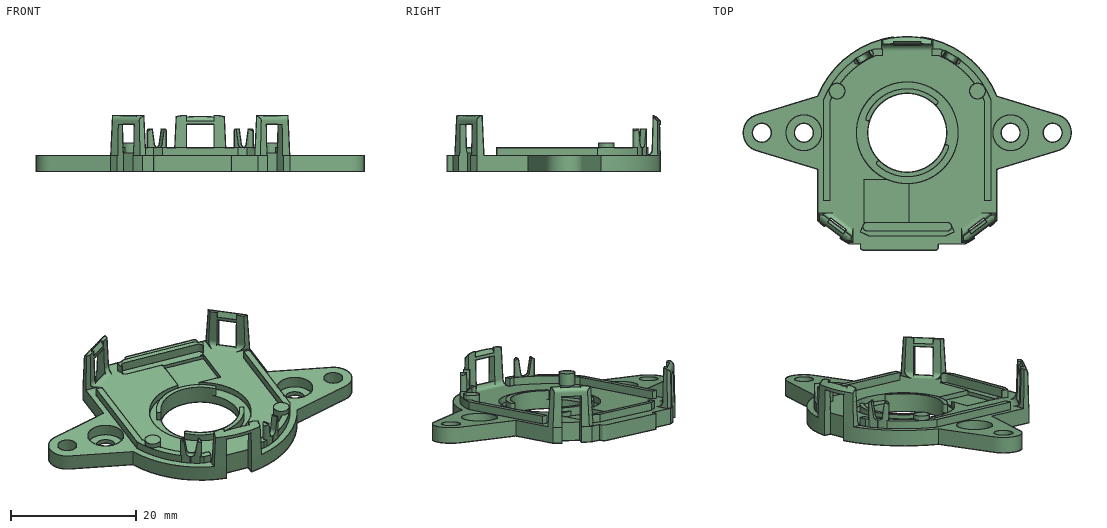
import cadquery as cq
import math

LENGTH = 52.5
PLATE_THICKNESS = 2.55
BODY_HALF_WIDTH = 14.35
REAR_RADIUS = 15.5
FRONT_CORNER_RADIUS = 20.05
FRONT_EDGE_Y = -17.8

TAB_LEFT = -7.5
TAB_RIGHT = 5.0
TAB_FRONT_Y = -18.8
TAB_CORNER_RADIUS = 0.45

EAR_RADIUS = 3.0
EAR_X = LENGTH / 2 - EAR_RADIUS
EAR_SLOPE = math.radians(17)
EAR_ROOT_OVERLAP = 1.05
EAR_HOLE_DIAMETER = 3.0
SCREW_X = 16.55
COUNTERBORE_DIAMETER = 5.7
COUNTERBORE_FLOOR_Z = 0.75

BORE_DIAMETER = 12.6
BORE_RADIUS = BORE_DIAMETER / 2
RECESS_RADIUS = 8.15
RECESS_FLOOR_Z = 1.5
RIB_THICKNESS = 0.75
RIB_TOP_Z = 2.95
RIB_START_ANGLE = 47
RIB_END_ANGLE = 160

POCKET_LEFT = -6.9
POCKET_RIGHT = 0.25
POCKET_REAR_Y = -7.5
POCKET_FLOOR_Z = 1.8
SLOT_REAR_Y = -14.35
SLOT_WIDTH = 1.35
SLOT_LENGTH = 14.15
SLOT_FLOOR_Z = 2.35
RIDGE_REAR_Y = -14.85
RIDGE_FRONT_Y = -16.55
RIDGE_WIDEST_Y = -15.85
RIDGE_HALF_REAR = 7.1
RIDGE_HALF_WIDEST = 7.5
RIDGE_HALF_FRONT = 6.05

RAIL_TOP_Z = 3.85
RAIL_WIDTH = 1.0
RAIL_HALF_SPAN = 13.4
RAIL_OUTER_RADIUS = 14.4
RAIL_INNER_RADIUS = 13.35
RAIL_FRONT_Y = -10.85
RAIL_REAR_GAP_HALF = 4.0

PEG_X = 11.25
PEG_Y = 6.65
PEG_DIAMETER = 2.5
PEG_TOP_Z = 4.55

PRONG_ANGLE = 60
PRONG_CENTRE_RADIUS = 13.9
PRONG_TOP_Z = 6.8
PRONG_SHOULDER_Z = 6.5
PRONG_OUTER = 1.7
PRONG_TIP_OUTER = 1.25
PRONG_TIP_INNER = 1.1
PRONG_ROOT_INNER = 0.75
PRONG_ROOT_RADIUS = 0.7

CLIP_TOP_Z = 9.0
CLIP_TAPER = 2.6
CLIP_INNER_LEAN = 0.15
CLIP_ROOT_RADIUS = 0.95
WINDOW_TOP_Z = 7.55
HOOK_Z = 8.1
CLIP_OUTER_LEAN = 0.115
HOOK_RUN = CLIP_TOP_Z - HOOK_Z
BAR_BEVEL = 0.5

REAR_CLIP_HALF_WIDTH = 4.15
REAR_CLIP_INNER = 14.0
REAR_NOTCH_INNER = REAR_CLIP_INNER
REAR_WINDOW_WIDTH = 4.35

FRONT_CLIP_ANGLE = 233
FRONT_CLIP_INNER = 18.4
FRONT_CLIP_OUTER = 19.8
FRONT_NOTCH_INNER = 18.25
FRONT_WINDOW_WIDTH = 3.15
FRONT_CLIP_X = (-BODY_HALF_WIDTH, -8.7)
FRONT_CLIP_Y = (-17.55, -12.85)

OVERSIZE = 52.5


def block(x_range, y_range, z_range):
    """Axis-aligned box from its limits."""
    size = [high - low for low, high in (x_range, y_range, z_range)]
    corner = (x_range[0], y_range[0], z_range[0])
    return cq.Workplane("XY").box(*size, centered=False).translate(corner)


def cylinder(radius, z_low, z_high, x=0, y=0):
    return cq.Workplane("XY", origin=(x, y, z_low)).circle(radius).extrude(z_high - z_low)


def both_sides(shape):
    """The shape together with its mirror image across the YZ plane."""
    return shape.union(shape.mirror("YZ"))


def make_body():
    """Plate with a round rear, square front and rounded-off front corners."""
    z_range = (0, PLATE_THICKNESS)
    x_range = (-BODY_HALF_WIDTH, BODY_HALF_WIDTH)
    rear = cylinder(REAR_RADIUS, *z_range).intersect(block(x_range, (0, OVERSIZE), z_range))
    front = cylinder(FRONT_CORNER_RADIUS, *z_range).intersect(block(x_range, (FRONT_EDGE_Y, 0), z_range))
    tab = block((TAB_LEFT, TAB_RIGHT), (TAB_FRONT_Y, FRONT_EDGE_Y), z_range)
    tab = tab.edges("|Z and <Y").fillet(TAB_CORNER_RADIUS)
    return rear.union(front).union(tab)


def make_ear():
    """Right-hand ear: a round end with straight flanks that widen towards the body."""
    tangent_x = EAR_X + EAR_RADIUS * math.sin(EAR_SLOPE)
    tangent_y = EAR_RADIUS * math.cos(EAR_SLOPE)
    root_x = BODY_HALF_WIDTH - EAR_ROOT_OVERLAP
    root_y = tangent_y + (tangent_x - root_x) * math.tan(EAR_SLOPE)
    return (
        cq.Workplane("XY")
        .moveTo(root_x, -root_y)
        .lineTo(tangent_x, -tangent_y)
        .threePointArc((LENGTH / 2, 0), (tangent_x, tangent_y))
        .lineTo(root_x, root_y)
        .close()
        .extrude(PLATE_THICKNESS)
    )


def make_ear_holes():
    """Plain outer hole and counterbored inner hole of the right-hand ear."""
    outer = cylinder(EAR_HOLE_DIAMETER / 2, 0, PLATE_THICKNESS, x=EAR_X)
    inner = cylinder(EAR_HOLE_DIAMETER / 2, 0, PLATE_THICKNESS, x=SCREW_X)
    counterbore = cylinder(COUNTERBORE_DIAMETER / 2, COUNTERBORE_FLOOR_Z, PLATE_THICKNESS, x=SCREW_X)
    return outer.union(inner).union(counterbore)


def make_rib():
    """Arc-shaped rib with round ends; it reaches into the bore, which trims its inner face."""
    inner_radius = BORE_RADIUS - RIB_THICKNESS / 2
    middle_radius = BORE_RADIUS + RIB_THICKNESS / 2
    outer_radius = BORE_RADIUS + RIB_THICKNESS
    middle_angle = (RIB_START_ANGLE + RIB_END_ANGLE) / 2

    def polar(radius, angle):
        return (radius * math.cos(math.radians(angle)), radius * math.sin(math.radians(angle)))

    rib = (
        cq.Workplane("XY", origin=(0, 0, RECESS_FLOOR_Z))
        .moveTo(*polar(outer_radius, RIB_START_ANGLE))
        .threePointArc(polar(outer_radius, middle_angle), polar(outer_radius, RIB_END_ANGLE))
        .lineTo(*polar(inner_radius, RIB_END_ANGLE))
        .threePointArc(polar(inner_radius, middle_angle), polar(inner_radius, RIB_START_ANGLE))
        .close()
        .extrude(RIB_TOP_Z - RECESS_FLOOR_Z)
    )
    for angle in (RIB_START_ANGLE, RIB_END_ANGLE):
        x, y = polar(middle_radius, angle)
        rib = rib.union(cylinder(RIB_THICKNESS / 2, RECESS_FLOOR_Z, RIB_TOP_Z, x, y))
    return rib


def make_ridge():
    return (
        cq.Workplane("XY", origin=(0, 0, PLATE_THICKNESS))
        .polyline([
            (-RIDGE_HALF_REAR, RIDGE_REAR_Y),
            (-RIDGE_HALF_WIDEST, RIDGE_WIDEST_Y),
            (-RIDGE_HALF_FRONT, RIDGE_FRONT_Y),
            (RIDGE_HALF_FRONT, RIDGE_FRONT_Y),
            (RIDGE_HALF_WIDEST, RIDGE_WIDEST_Y),
            (RIDGE_HALF_REAR, RIDGE_REAR_Y),
        ])
        .close()
        .extrude(RAIL_TOP_Z - PLATE_THICKNESS)
    )


def make_slot():
    return (
        cq.Workplane("XY", origin=(0, SLOT_REAR_Y - SLOT_WIDTH / 2, SLOT_FLOOR_Z))
        .slot2D(SLOT_LENGTH, SLOT_WIDTH)
        .extrude(RAIL_TOP_Z - SLOT_FLOOR_Z)
    )


def make_rail():
    """Rail along both sides and the rear, open at the front and in front of the rear clip."""
    z_range = (PLATE_THICKNESS, RAIL_TOP_Z)

    def outline(radius, half_span):
        limits = block((-half_span, half_span), (-OVERSIZE, half_span), z_range)
        side_strip = block((-half_span, half_span), (RAIL_FRONT_Y, 0), z_range)
        return cylinder(radius, *z_range).intersect(limits).union(side_strip)

    rail = outline(RAIL_OUTER_RADIUS, RAIL_HALF_SPAN)
    rail = rail.cut(outline(RAIL_INNER_RADIUS, RAIL_HALF_SPAN - RAIL_WIDTH))
    rail = rail.cut(block((-OVERSIZE, OVERSIZE), (-OVERSIZE, RAIL_FRONT_Y), z_range))
    return rail.cut(block((-RAIL_REAR_GAP_HALF, RAIL_REAR_GAP_HALF), (0, OVERSIZE), z_range))


def make_prong_pair():
    """Two leaning prongs on the right-hand rear curve of the rail."""
    root_z = RAIL_TOP_Z + PRONG_ROOT_RADIUS
    root_arc_inset = PRONG_ROOT_RADIUS * (1 - math.sqrt(0.5))
    prong = (
        cq.Workplane("YZ")
        .moveTo(PRONG_OUTER, PLATE_THICKNESS)
        .lineTo(PRONG_OUTER, PRONG_SHOULDER_Z)
        .lineTo(PRONG_TIP_OUTER, PRONG_TOP_Z)
        .lineTo(PRONG_TIP_INNER, PRONG_TOP_Z)
        .lineTo(PRONG_ROOT_INNER, root_z)
        .threePointArc(
            (PRONG_ROOT_INNER - root_arc_inset, RAIL_TOP_Z + root_arc_inset),
            (PRONG_ROOT_INNER - PRONG_ROOT_RADIUS, RAIL_TOP_Z),
        )
        .lineTo(PRONG_ROOT_INNER - PRONG_ROOT_RADIUS, PLATE_THICKNESS)
        .close()
        .extrude(RAIL_WIDTH / 2, both=True)
    )
    rounded_ends = (
        cq.Workplane("XY", origin=(0, 0, PLATE_THICKNESS))
        .slot2D(2 * PRONG_OUTER, RAIL_WIDTH, 90)
        .extrude(PRONG_TOP_Z - PLATE_THICKNESS)
    )
    pair = prong.union(prong.mirror("XZ")).intersect(rounded_ends)
    pair = pair.translate((PRONG_CENTRE_RADIUS, 0, 0))
    return pair.rotate((0, 0, 0), (0, 0, 1), PRONG_ANGLE)


def make_round_back():
    """Solid of revolution whose side is the back of the rear clip, bevelled above the hook."""
    hook_radius = REAR_RADIUS - CLIP_OUTER_LEAN
    return (
        cq.Workplane("XZ")
        .polyline([
            (0, PLATE_THICKNESS),
            (REAR_RADIUS, PLATE_THICKNESS),
            (hook_radius, HOOK_Z),
            (hook_radius - HOOK_RUN, CLIP_TOP_Z),
            (0, CLIP_TOP_Z),
        ])
        .close()
        .revolve(360, (0, 0, 0), (0, 1, 0))
    )


def make_flat_back():
    """Prism whose far side is the back of a front clip, rounded over above the hook."""
    hook_x = FRONT_CLIP_OUTER - CLIP_OUTER_LEAN
    arc_inset = HOOK_RUN * (1 - math.sqrt(0.5))
    prism = (
        cq.Workplane("XZ")
        .moveTo(0, PLATE_THICKNESS)
        .lineTo(FRONT_CLIP_OUTER, PLATE_THICKNESS)
        .lineTo(hook_x, HOOK_Z)
        .threePointArc((hook_x - arc_inset, CLIP_TOP_Z - arc_inset), (hook_x - HOOK_RUN, CLIP_TOP_Z))
        .lineTo(0, CLIP_TOP_Z)
        .close()
        .extrude(OVERSIZE, both=True)
    )
    return prism.rotate((0, 0, 0), (0, 0, 1), FRONT_CLIP_ANGLE)


def make_clip(angle, back, inner, x_range, y_range, window_width):
    """Upright clip wall with a flat inner face towards the bore axis and a fillet at its root."""
    column_size = (x_range[1] - x_range[0], y_range[1] - y_range[0])
    column_centre = (sum(x_range) / 2, sum(y_range) / 2, PLATE_THICKNESS)
    column = (
        cq.Workplane("XY", origin=column_centre)
        .rect(*column_size)
        .extrude(CLIP_TOP_Z - PLATE_THICKNESS, taper=CLIP_TAPER)
    )

    root_z = PLATE_THICKNESS + CLIP_ROOT_RADIUS
    arc_inset = CLIP_ROOT_RADIUS * (1 - math.sqrt(0.5))
    top_inner = inner + CLIP_INNER_LEAN
    wall = (
        cq.Workplane("XZ")
        .moveTo(inner - CLIP_ROOT_RADIUS, PLATE_THICKNESS)
        .threePointArc((inner - arc_inset, PLATE_THICKNESS + arc_inset), (inner, root_z))
        .lineTo(top_inner, CLIP_TOP_Z)
        .lineTo(OVERSIZE, CLIP_TOP_Z)
        .lineTo(OVERSIZE, PLATE_THICKNESS)
        .close()
        .extrude(OVERSIZE, both=True)
    )

    bevel = (
        cq.Workplane("XZ")
        .polyline([
            (0, HOOK_Z),
            (top_inner, HOOK_Z),
            (top_inner + BAR_BEVEL, CLIP_TOP_Z),
            (0, CLIP_TOP_Z),
        ])
        .close()
        .extrude(window_width / 2, both=True)
    )
    wall = wall.cut(bevel).rotate((0, 0, 0), (0, 0, 1), angle)
    return column.intersect(back).intersect(wall)


def make_window(angle, notch_inner, window_width):
    """Cutter for the clip window, which runs down through the plate edge as a notch."""
    half_width = window_width / 2
    cutter = block((notch_inner, OVERSIZE), (-half_width, half_width), (0, WINDOW_TOP_Z))
    return cutter.rotate((0, 0, 0), (0, 0, 1), angle)


plate = make_body().union(both_sides(make_ear()))
plate = plate.cut(both_sides(make_ear_holes()))

plate = plate.union(make_rail())
plate = plate.union(both_sides(cylinder(PEG_DIAMETER / 2, PLATE_THICKNESS, PEG_TOP_Z, PEG_X, PEG_Y)))
plate = plate.union(both_sides(make_prong_pair()))
plate = plate.union(make_ridge())

plate = plate.cut(make_slot())
plate = plate.cut(block(
    (POCKET_LEFT, POCKET_RIGHT),
    (SLOT_REAR_Y, POCKET_REAR_Y),
    (POCKET_FLOOR_Z, PLATE_THICKNESS),
))
plate = plate.cut(cylinder(RECESS_RADIUS, RECESS_FLOOR_Z, PLATE_THICKNESS))
for rib_angle in (0, 180):
    plate = plate.union(make_rib().rotate((0, 0, 0), (0, 0, 1), rib_angle))
plate = plate.cut(cylinder(BORE_RADIUS, 0, RIB_TOP_Z))

rear_clip = make_clip(
    90, make_round_back(), REAR_CLIP_INNER,
    (-REAR_CLIP_HALF_WIDTH, REAR_CLIP_HALF_WIDTH), (0, OVERSIZE),
    REAR_WINDOW_WIDTH,
)
front_clip = make_clip(
    FRONT_CLIP_ANGLE, make_flat_back(), FRONT_CLIP_INNER,
    FRONT_CLIP_X, FRONT_CLIP_Y,
    FRONT_WINDOW_WIDTH,
)
plate = plate.union(rear_clip).union(both_sides(front_clip))
plate = plate.cut(make_window(90, REAR_NOTCH_INNER, REAR_WINDOW_WIDTH))
plate = plate.cut(both_sides(make_window(FRONT_CLIP_ANGLE, FRONT_NOTCH_INNER, FRONT_WINDOW_WIDTH)))

result = plate